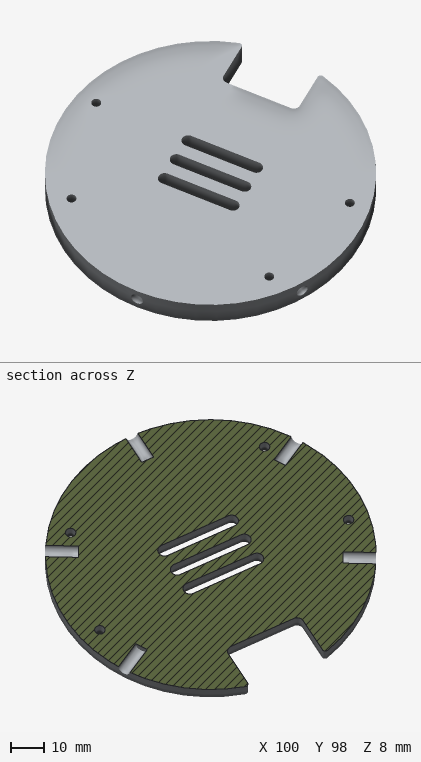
import cadquery as cq
import math

disc_diameter = 100
disc_radius = disc_diameter / 2
thickness = 8

notch_width = 25.6
notch_floor_y = 32.8
notch_floor_radius = 2
notch_mouth_radius = 1

slot_length = 27
slot_width = 4
slot_pitch = 8
slot_count = 3

screw_hole_diameter = 3
screw_hole_places = [(42.7, 8.5), (33.3, -27.3)]

rim_hole_diameter = 4
rim_hole_depth = 10
rim_hole_angles = [30, 150, 210, 270, 330]


def make_notched_disc():
    disc = cq.Workplane("XY").circle(disc_radius).extrude(thickness)
    notch_length = disc_radius - notch_floor_y
    notch = (
        cq.Workplane("XY")
        .center(0, notch_floor_y + notch_length / 2)
        .rect(notch_width, notch_length)
        .extrude(thickness)
        .edges("|Z and <Y")
        .fillet(notch_floor_radius)
    )
    mouth_y = math.sqrt(disc_radius**2 - (notch_width / 2) ** 2)
    body = disc.cut(notch)
    for side in (-1, 1):
        mouth_corner = (side * notch_width / 2, mouth_y, thickness / 2)
        body = body.edges(cq.selectors.NearestToPointSelector(mouth_corner)).fillet(notch_mouth_radius)
    return body


def make_slots():
    return (
        cq.Workplane("XY")
        .rarray(1, slot_pitch, 1, slot_count)
        .slot2D(slot_length, slot_width)
        .extrude(thickness)
    )


def make_screw_holes():
    places = [(side * x, y) for x, y in screw_hole_places for side in (-1, 1)]
    return cq.Workplane("XY").pushPoints(places).circle(screw_hole_diameter / 2).extrude(thickness)


def make_rim_hole(angle):
    outward_x = math.cos(math.radians(angle))
    outward_y = math.sin(math.radians(angle))
    start = cq.Vector(disc_radius * outward_x, disc_radius * outward_y, thickness / 2)
    inward = cq.Vector(-outward_x, -outward_y, 0)
    return cq.Solid.makeCylinder(rim_hole_diameter / 2, rim_hole_depth, start, inward)


result = make_notched_disc().cut(make_slots()).cut(make_screw_holes())
for hole_angle in rim_hole_angles:
    result = result.cut(cq.Workplane(obj=make_rim_hole(hole_angle)))